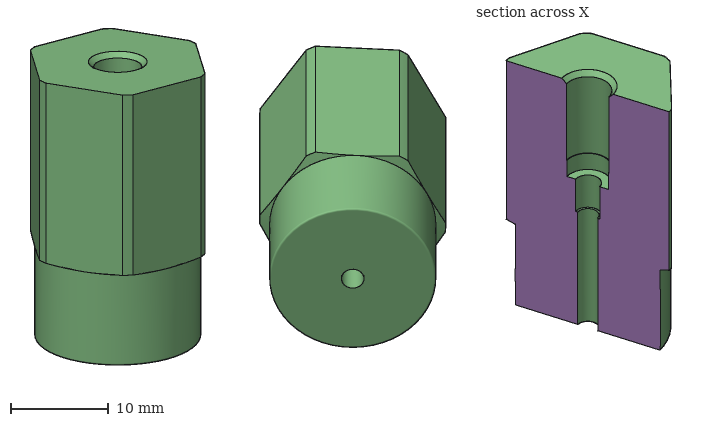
import cadquery as cq
import math

total_height = 30.0
across_flats = 17.0
across_corners = 19.04
spigot_diameter = across_flats
spigot_height = 10.0
spigot_edge_radius = 0.2
underside_angle = 15.0

entry_diameter = 4.92
entry_depth = 10.0
lower_diameter = 4.8
lower_depth = 12.0
outlet_diameter = 2.8
outlet_depth = 16.0
through_diameter = 2.3

mouth_diameter = 6.0
mouth_depth = (mouth_diameter - entry_diameter) / 2


def turned_blank():
    """Round blank: a spigot that widens along a shallow cone to the diameter over the corners."""
    spigot_radius = spigot_diameter / 2
    outer_radius = across_corners / 2
    cone_rise = (outer_radius - spigot_radius) * math.tan(math.radians(underside_angle))
    blank = (
        cq.Workplane("XZ")
        .moveTo(0, 0)
        .lineTo(spigot_radius, 0)
        .lineTo(spigot_radius, spigot_height)
        .lineTo(outer_radius, spigot_height + cone_rise)
        .lineTo(outer_radius, total_height)
        .lineTo(0, total_height)
        .close()
        .revolve(360, (0, 0, 0), (0, 1, 0))
    )
    return blank.faces("<Z").edges().fillet(spigot_edge_radius)


def make_body():
    """Turned blank cut to a hexagon whose flats include those facing +X and -X."""
    sharp_corner_diameter = across_flats / math.cos(math.pi / 6)
    hexagon = cq.Workplane("XY").polygon(6, sharp_corner_diameter).extrude(total_height)
    hexagon = hexagon.rotate((0, 0, 0), (0, 0, 1), 30)
    return turned_blank().intersect(hexagon)


def cut_bore(body):
    """Stepped hole down the axis, narrowing from the top face to a small through hole."""
    steps = (
        (entry_diameter, entry_depth),
        (lower_diameter, lower_depth),
        (outlet_diameter, outlet_depth),
        (through_diameter, total_height),
    )
    top = cq.Workplane("XY").workplane(offset=total_height)
    for diameter, depth in steps:
        body = body.cut(top.circle(diameter / 2).extrude(-depth))
    return body


def countersink_mouth(body):
    """Conical lead-in where the bore meets the top face."""
    cone_base = cq.Vector(0, 0, total_height - mouth_depth)
    cone = cq.Solid.makeCone(entry_diameter / 2, mouth_diameter / 2, mouth_depth, cone_base)
    return body.cut(cq.Workplane(cone))


result = countersink_mouth(cut_bore(make_body()))